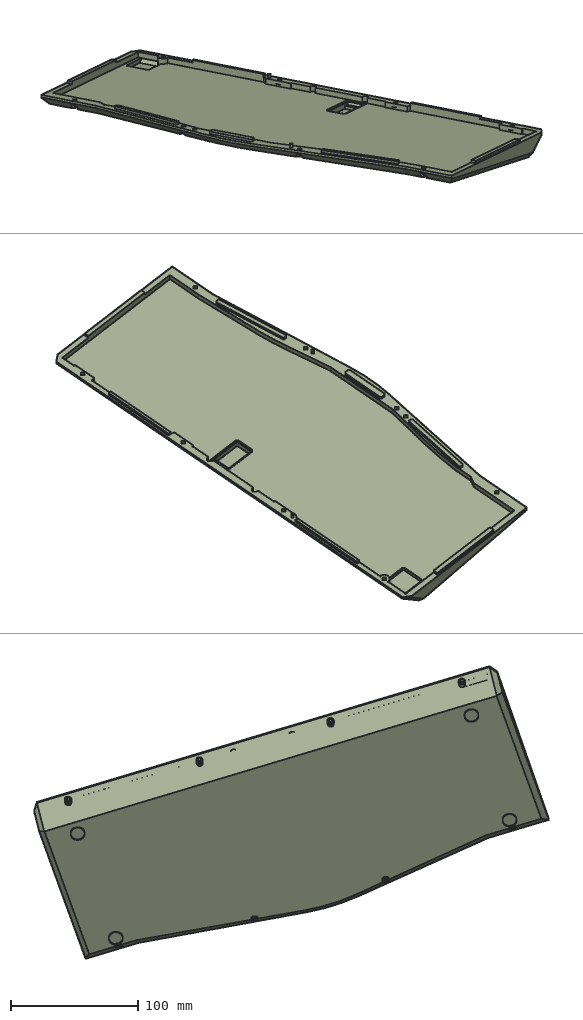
import cadquery as cq
import math

WIDTH = 382.3
DEPTH = 154.81
HEIGHT = 21.12
HALF_W = WIDTH / 2
REAR_Y = DEPTH / 2
TIP_Y = -DEPTH / 2

RIM_Z = 18.1
BAND = 2.0
BAND_Z = RIM_Z - BAND
REACH = 2 * WIDTH

CORNER_X = 4.4
CORNER_Y = 6.3
FRONT_Y = -60.3
BULGE_LEFT_X = -140.5
BULGE_RIGHT_X = 147.4
LEFT_SLOPE = 0.1390
RIGHT_SLOPE = 0.1195
BEND_HALF = 0.85

REAR_BOTTOM_Y = 58.8
BOTTOM_TILT = 5.05
FRONT_RUN = 0.85
SIDE_BEVEL_X = 4.6
SIDE_BEVEL_Z = 4.8

CAVITY_DEPTH = 4.5
FLOOR_Z = RIM_Z - CAVITY_DEPTH
CAVITY_X = 186.0
WALL_FAR_Y = 73.0
WALL_MID_Y = 71.0
WALL_NEAR_Y = 69.9
FRONT_LEFT_Y = -51.2
FRONT_STEP_Y = -54.5
FRONT_MID_Y = -65.8
FRONT_RIGHT_Y = -52.2

SCREW_INNER_X = 54.1
SCREW_OUTER_X = 162.5
SCREW_REAR_Y = 72.8
SCREW_FRONT_INNER_Y = -67.4
SCREW_FRONT_OUTER_Y = -56.4
SCREWS = [
    (side * x, y)
    for side in (-1, 1)
    for x, y in (
        (SCREW_INNER_X, SCREW_REAR_Y),
        (SCREW_OUTER_X, SCREW_REAR_Y),
        (SCREW_INNER_X, SCREW_FRONT_INNER_Y),
        (SCREW_OUTER_X, SCREW_FRONT_OUTER_Y),
    )
]
SCREW_D = 3.2
HEAD_D = 5.4
HEAD_TOP_Z = RIM_Z - 3.0
BOSS_R = 4.2

TONGUE_H = 2.0

PIN_D = 2.2
PINS = [(-63.9, 73.0), (46.4, SCREW_FRONT_INNER_Y)]
SOCKET = (-42.6, -69.0)
SOCKET_D = 3.2
SOCKET_DEPTH = 3.0
NOTCH_D = 5.0
NOTCH_Y = 71.6
NOTCHES_X = (-22.2, 26.2)

FOOT_D = 11.0
FOOT_DEPTH = 1.0
FOOT_X = SCREW_OUTER_X
FEET_Y = (-48.5, 48.5)


def box(x0, x1, y0, y1, z0, z1):
    """Block given by its limits along X, Y and Z."""
    size = (x1 - x0, y1 - y0, z1 - z0)
    return cq.Workplane("XY").box(*size, centered=False).translate((x0, y0, z0))


def cylinder(x, y, diameter, z0, z1):
    """Upright cylinder from z0 to z1."""
    return cq.Workplane("XY", origin=(x, y, z0)).circle(diameter / 2).extrude(z1 - z0)


def outer_outline():
    """Plan outline at the level of the edge band."""
    left_bend_end = (BULGE_LEFT_X + BEND_HALF, FRONT_Y - LEFT_SLOPE * BEND_HALF)
    right_bend_start = (BULGE_RIGHT_X - BEND_HALF, FRONT_Y - RIGHT_SLOPE * BEND_HALF)

    fall = FRONT_Y - TIP_Y
    left_angle = math.atan(LEFT_SLOPE)
    right_angle = math.atan(RIGHT_SLOPE)
    edge_gap = BULGE_RIGHT_X - BULGE_LEFT_X - fall / LEFT_SLOPE - fall / RIGHT_SLOPE
    tip_r = edge_gap / (math.tan(left_angle / 2) + math.tan(right_angle / 2))
    tip_x = BULGE_LEFT_X + fall / LEFT_SLOPE + tip_r * math.tan(left_angle / 2)
    arc_left_x = tip_x - tip_r * math.sin(left_angle)
    arc_right_x = tip_x + tip_r * math.sin(right_angle)
    arc_left_y = FRONT_Y - LEFT_SLOPE * (arc_left_x - BULGE_LEFT_X)
    arc_right_y = FRONT_Y - RIGHT_SLOPE * (BULGE_RIGHT_X - arc_right_x)
    return (
        cq.Workplane("XY", origin=(0, 0, BAND_Z))
        .moveTo(-HALF_W + CORNER_X, REAR_Y)
        .lineTo(-HALF_W, REAR_Y - CORNER_Y)
        .lineTo(-HALF_W, FRONT_Y)
        .lineTo(BULGE_LEFT_X - BEND_HALF, FRONT_Y)
        .tangentArcPoint(left_bend_end, relative=False)
        .lineTo(arc_left_x, arc_left_y)
        .threePointArc((tip_x, TIP_Y), (arc_right_x, arc_right_y))
        .lineTo(*right_bend_start)
        .tangentArcPoint((BULGE_RIGHT_X + BEND_HALF, FRONT_Y), relative=False)
        .lineTo(HALF_W, FRONT_Y)
        .lineTo(HALF_W, REAR_Y - CORNER_Y)
        .lineTo(HALF_W - CORNER_X, REAR_Y)
        .close()
    )


def slanted_prism(y_shift):
    """The outline swept down to Z = 0 while sliding by y_shift."""
    direction = cq.Vector(0, y_shift, -BAND_Z)
    return cq.Workplane(cq.Solid.extrudeLinear(outer_outline().wire().val(), [], direction))


def tilted_bar():
    """Long bar with the tilted bottom and the bevels along both sides."""
    bar = (
        cq.Workplane("XZ")
        .moveTo(-HALF_W + SIDE_BEVEL_X, 0)
        .lineTo(HALF_W - SIDE_BEVEL_X, 0)
        .lineTo(HALF_W, SIDE_BEVEL_Z)
        .lineTo(HALF_W, REACH)
        .lineTo(-HALF_W, REACH)
        .lineTo(-HALF_W, SIDE_BEVEL_Z)
        .close()
        .extrude(REACH, both=True)
    )
    return bar.rotate((0, 0, 0), (1, 0, 0), -BOTTOM_TILT).translate((0, REAR_BOTTOM_Y, 0))


def make_body():
    """Solid wedge: upright edge band above the slanted lower part."""
    band = outer_outline().extrude(BAND)
    rear_slope = slanted_prism(REAR_BOTTOM_Y - REAR_Y)
    front_slope = slanted_prism(FRONT_RUN * BAND_Z)
    lower = rear_slope.intersect(front_slope).intersect(tilted_bar())
    return band.union(lower)


def screw_boss():
    """Round post at the rear left screw, standing in the cavity."""
    return cylinder(-SCREW_OUTER_X, SCREW_REAR_Y, 2 * BOSS_R, 0, RIM_Z)


def make_cavity():
    """Flat-floored tray; its rear wall thickens over three X ranges at the screws."""
    left_thick_x = (-65.0, -42.0)
    inner_thick_x = (46.0, 66.5)
    outer_thick_x = (152.5, 173.5)
    cavity = (
        cq.Workplane("XY", origin=(0, 0, FLOOR_Z))
        .moveTo(-CAVITY_X, WALL_FAR_Y)
        .lineTo(-69.0, WALL_FAR_Y)
        .lineTo(left_thick_x[0], WALL_NEAR_Y)
        .lineTo(left_thick_x[1], WALL_NEAR_Y)
        .lineTo(left_thick_x[1], WALL_MID_Y)
        .lineTo(inner_thick_x[0], WALL_MID_Y)
        .lineTo(inner_thick_x[0], WALL_NEAR_Y)
        .lineTo(inner_thick_x[1], WALL_NEAR_Y)
        .lineTo(67.5, WALL_FAR_Y)
        .lineTo(outer_thick_x[0], WALL_FAR_Y)
        .lineTo(outer_thick_x[0], WALL_NEAR_Y)
        .lineTo(outer_thick_x[1], WALL_NEAR_Y)
        .lineTo(outer_thick_x[1], WALL_MID_Y)
        .lineTo(CAVITY_X, WALL_MID_Y)
        .lineTo(CAVITY_X, FRONT_RIGHT_Y)
        .lineTo(156.0, FRONT_RIGHT_Y)
        .lineTo(108.0, -54.9)
        .threePointArc((88.0, -56.2), (66.8, -59.0))
        .lineTo(26.0, FRONT_MID_Y)
        .lineTo(-40.8, FRONT_MID_Y)
        .lineTo(-61.0, -62.5)
        .threePointArc((-90.0, -57.6), (-120.0, FRONT_STEP_Y))
        .lineTo(-136.0, FRONT_STEP_Y)
        .lineTo(-142.5, FRONT_LEFT_Y)
        .lineTo(-CAVITY_X, FRONT_LEFT_Y)
        .close()
        .extrude(CAVITY_DEPTH)
    )
    for x in NOTCHES_X:
        cavity = cavity.union(cylinder(x, NOTCH_Y, NOTCH_D, FLOOR_Z, RIM_Z))
    return cavity.cut(screw_boss())


def sloped_pocket(x0, x1, y0, rear_top_y, rear_bottom_y, depth, corner_r):
    """Pocket in the cavity floor whose rear wall leans forward going down."""
    pocket = (
        cq.Workplane("YZ", origin=(x0, 0, 0))
        .moveTo(y0, FLOOR_Z)
        .lineTo(rear_top_y, FLOOR_Z)
        .lineTo(rear_bottom_y, FLOOR_Z - depth)
        .lineTo(y0, FLOOR_Z - depth)
        .close()
        .extrude(x1 - x0)
    )
    return pocket.edges("|Z").fillet(corner_r)


def corner_pocket():
    """Shallow pocket in the rear left corner of the floor."""
    pocket = sloped_pocket(
        x0=-182.5, x1=-161.9, y0=50.1, rear_top_y=72.4, rear_bottom_y=69.6, depth=3.0, corner_r=1.5
    )
    return pocket.cut(screw_boss())


def ledge_pocket():
    """Rear pocket with a narrow ledge all round and a step at its rear end."""
    x0, x1, y0 = 10.9, 28.2, 38.6
    ledge_width = 1.15
    ledge_depth = 1.0
    top_rear_y = 70.4
    ledge_rear_y = 69.6
    shelf_depth = 3.0
    shelf_rear_y = 67.4
    step_y = 64.0
    total_depth = 5.5
    outer_r = 1.5
    inner_r = 1.0
    inner_x0 = x0 + ledge_width
    inner_x1 = x1 - ledge_width
    inner_y0 = y0 + ledge_width
    recess = sloped_pocket(x0, x1, y0, top_rear_y, ledge_rear_y, ledge_depth, outer_r)
    shelf = sloped_pocket(inner_x0, inner_x1, inner_y0, ledge_rear_y, shelf_rear_y, shelf_depth, inner_r)
    deep = box(inner_x0, inner_x1, inner_y0, step_y, FLOOR_Z - total_depth, FLOOR_Z)
    return recess.union(shelf).union(deep.edges("|Z and <Y").fillet(inner_r))


def bar_tongue(x0, x1, y0, y1):
    """Square-cornered tongue beside the cavity wall."""
    return box(x0, x1, y0, y1, RIM_Z, RIM_Z + TONGUE_H)


def front_tongue(x, y, length, width, angle, corner_r):
    """Round-cornered tongue on the front rim, centred at (x, y)."""
    tongue = cq.Workplane("XY").rect(length, width).extrude(TONGUE_H)
    tongue = tongue.edges("|Z").fillet(corner_r)
    return tongue.rotate((0, 0, 0), (0, 0, 1), angle).translate((x, y, RIM_Z))


def make_tongues():
    left_angle = -math.degrees(math.atan(LEFT_SLOPE))
    right_angle = math.degrees(math.atan(RIGHT_SLOPE))
    rear_y = (WALL_FAR_Y, 75.4)
    side_y = (-23.5, 41.2)
    side_outer_x = 190.0
    return [
        bar_tongue(-135.7, -69.3, *rear_y),
        bar_tongue(67.5, 132.1, *rear_y),
        bar_tongue(-side_outer_x, -CAVITY_X, *side_y),
        bar_tongue(CAVITY_X, side_outer_x, *side_y),
        front_tongue(x=-92.2, y=-61.2, length=64.0, width=3.6, angle=left_angle, corner_r=0.8),
        front_tongue(x=105.9, y=-60.1, length=66.5, width=3.6, angle=right_angle, corner_r=0.8),
        front_tongue(x=-7.4, y=-70.0, length=39.3, width=5.2, angle=0, corner_r=1.5),
    ]


def foot_recess(x, y):
    """Round recess square to the tilted bottom."""
    bottom_z = (REAR_BOTTOM_Y - y) * math.tan(math.radians(BOTTOM_TILT))
    foot = cylinder(0, 0, FOOT_D, -FOOT_DEPTH, FOOT_DEPTH)
    return foot.rotate((0, 0, 0), (1, 0, 0), -BOTTOM_TILT).translate((x, y, bottom_z))


def build():
    part = make_body().cut(make_cavity())
    part = part.cut(corner_pocket()).cut(ledge_pocket())
    for tongue in make_tongues():
        part = part.union(tongue)
    for x, y in PINS:
        part = part.union(cylinder(x, y, PIN_D, BAND_Z, HEIGHT))
    for x, y in SCREWS:
        part = part.cut(cylinder(x, y, SCREW_D, 0, RIM_Z))
        part = part.cut(cylinder(x, y, HEAD_D, 0, HEAD_TOP_Z))
    part = part.cut(cylinder(*SOCKET, SOCKET_D, RIM_Z - SOCKET_DEPTH, RIM_Z))
    for x in (-FOOT_X, FOOT_X):
        for y in FEET_Y:
            part = part.cut(foot_recess(x, y))
    return part


result = build()